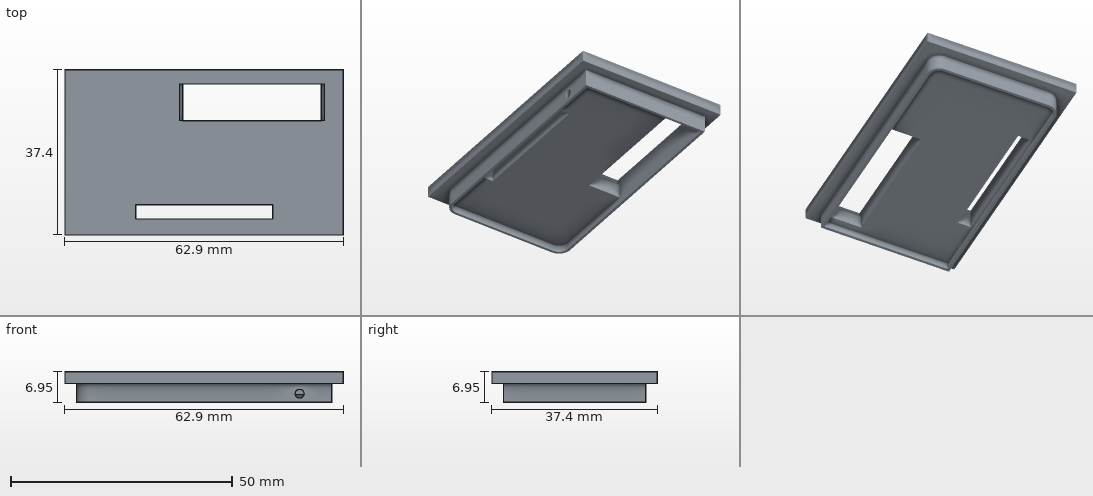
import cadquery as cq
import math

plate_length = 62.9
plate_width = 37.4
plate_thickness = 2.75
total_height = 6.95

plug_inset = 2.6
plug_length = plate_length - 2 * plug_inset
plug_width = plate_width - 2 * plug_inset
plug_height = total_height - plate_thickness
plug_corner_radius = 3.0

rim_thickness = 0.65
recess_depth = 1.75
recess_length = plug_length - 2 * rim_thickness
recess_width = plug_width - 2 * rim_thickness
recess_corner_radius = plug_corner_radius - rim_thickness

window_x_min = -5.52
window_x_max = 27.15
window_y_max = recess_width / 2
window_width = 8.25

lip_depth = 0.95
slope_run = 0.45
slope_angle = math.radians(45)
rounding_radius = 0.95

slot_length = 30.9
slot_width = 3.15
slot_y_min = -15.0

hole_diameter = 2.0
hole_x = 21.55
hole_z = 1.95


def block_with_round_left_corners(length, width, height, corner_radius):
    """Block standing on Z = 0 with its two -X upright edges rounded."""
    block = cq.Workplane("XY").box(length, width, height, centered=(True, True, False))
    return block.edges("|Z and <X").fillet(corner_radius)


def make_body():
    plug = block_with_round_left_corners(plug_length, plug_width, plug_height, plug_corner_radius)
    plate = (
        cq.Workplane("XY")
        .workplane(offset=plug_height)
        .box(plate_length, plate_width, plate_thickness, centered=(True, True, False))
    )
    return plug.union(plate)


def make_recess():
    return block_with_round_left_corners(recess_length, recess_width, recess_depth, recess_corner_radius)


def make_window():
    """Window opening: a profile in XZ, narrowing below the lip, swept along Y."""
    lip_z = total_height - lip_depth
    slope_end_z = lip_z - slope_run * math.tan(slope_angle)
    throat_z = slope_end_z - rounding_radius * math.sin(slope_angle)
    throat_inset = slope_run + rounding_radius * (1 - math.cos(slope_angle))
    mid_angle = slope_angle / 2
    mid_inset = throat_inset - rounding_radius * (1 - math.cos(mid_angle))
    mid_z = throat_z + rounding_radius * math.sin(mid_angle)

    profile = (
        cq.Workplane("XZ", origin=(0, window_y_max, 0))
        .moveTo(window_x_min, total_height)
        .lineTo(window_x_min, lip_z)
        .lineTo(window_x_min + slope_run, slope_end_z)
        .threePointArc((window_x_min + mid_inset, mid_z), (window_x_min + throat_inset, throat_z))
        .lineTo(window_x_min + throat_inset, 0)
        .lineTo(window_x_max - throat_inset, 0)
        .lineTo(window_x_max - throat_inset, throat_z)
        .threePointArc((window_x_max - mid_inset, mid_z), (window_x_max - slope_run, slope_end_z))
        .lineTo(window_x_max, lip_z)
        .lineTo(window_x_max, total_height)
        .close()
    )
    return profile.extrude(window_width)


def make_slot():
    return (
        cq.Workplane("XY", origin=(0, slot_y_min + slot_width / 2, 0))
        .rect(slot_length, slot_width)
        .extrude(total_height)
    )


def make_rim_hole():
    return (
        cq.Workplane("XZ", origin=(hole_x, -recess_width / 2, hole_z))
        .circle(hole_diameter / 2)
        .extrude(rim_thickness)
    )


result = make_body().cut(make_recess()).cut(make_window()).cut(make_slot()).cut(make_rim_hole())